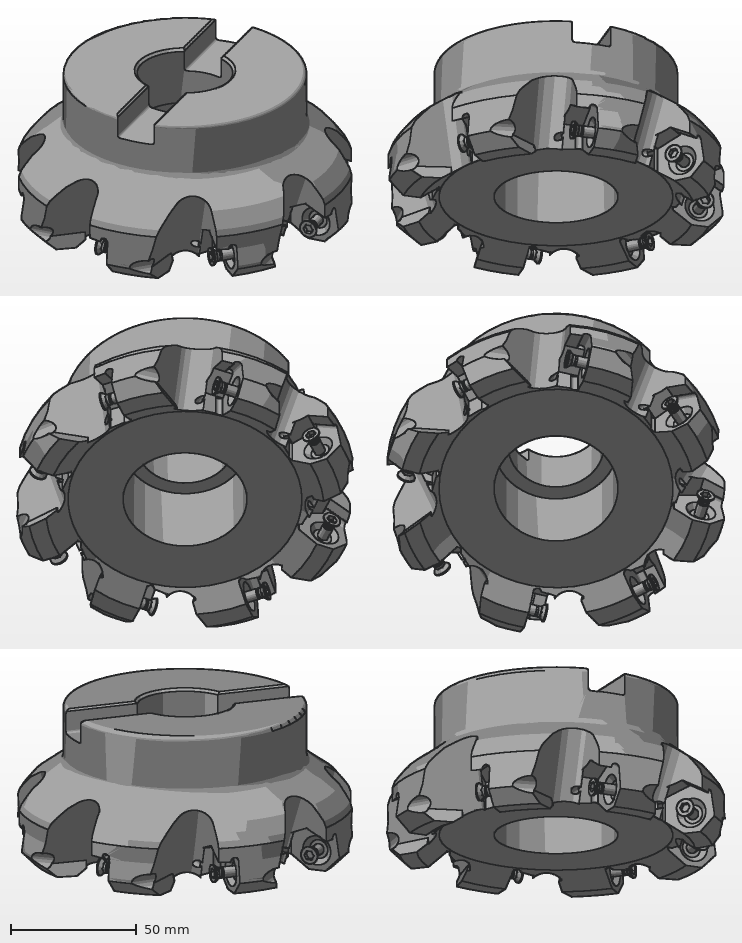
import cadquery as cq
import math


tooth_count = 8
height = 61.7
outer_radius = 68.4

selection_margin = 0.1

hub_radius = 48.4
hub_top_round = 1.9
hub_base_round = 2.9
hub_base_z = 38.9
crown = [(61.4, 29.4), (64.3, 26.0), (66.3, 23.3), (67.3, 20.7), (67.3, 14.5)]
rim_top_z = 7.3
rim_bottom_z = 5.9
bottom_chamfer = rim_bottom_z
core_bottom_z = 6.3
recess_top_radius = 46.5
recess_bottom_radius = 55.4

bore_radius = 19.0
bore_chamfer = 1.1
counterbore_radius = 24.6
counterbore_top_z = 37.9
slot_width = 16.0
slot_floor_z = 52.0
slot_edge_chamfer = 0.8
slot_floor_round = 1.2

gullet_face_y = -11.8
gullet_radius = 7.7
gullet_axis_x = 56.8
gullet_axis_z = 20.5
gullet_lean = 0.3
gullet_back_angle = 55.0
gullet_reach = 41.0
toe_height = 9.6
toe_spread = 3.0

seat_y = -3.5
screw_x = 58.7
screw_z = 8.2
pocket_overrun = 0.7
pocket_inner_x = 47.6
pocket_shoulder_z = 15.6
pocket_peak_x = 57.7
pocket_peak_z = 19.5
pocket_top_fall_angle = 28.0
relief_radius = 1.6
dish_radius = 6.0
dish_floor_radius = 3.8
dish_depth = 2.0

head_radius = 3.5
head_top_y = -11.4
head_rim = 0.5
head_taper = 1.6
shank_radius = 2.2
neck_groove_y = -7.7
neck_groove_width = 0.8
neck_groove_depth = 0.4
shank_end_y = 8.2
socket_across_corners = 4.1
socket_depth = 1.9

driver_drift_in = 0.06
driver_drift_down = 0.05

coolant_radius = 1.5
coolant_y = -13.7
coolant_z = 9.6
coolant_end_x = 41.0


def around_teeth(shape):
    """Copies of a shape made for the +X tooth, one for every tooth."""
    step = 360.0 / tooth_count
    return [shape.rotate((0, 0, 0), (0, 0, 1), i * step) for i in range(tooth_count)]


def along_screw(start_y):
    """Workplane centred on the screw axis at the given Y, facing +Y, with local Y along Z."""
    frame = cq.Plane(origin=(screw_x, start_y, screw_z), xDir=(-1, 0, 0), normal=(0, 1, 0))
    return cq.Workplane(frame)


def turned_blank():
    """Hub, conical shoulder and toothed rim as one turned ring."""
    outline = [
        (bore_radius, counterbore_top_z),
        (counterbore_radius, counterbore_top_z),
        (counterbore_radius, core_bottom_z),
        (recess_top_radius, core_bottom_z),
        (recess_bottom_radius, 0),
        (outer_radius - bottom_chamfer, 0),
        (outer_radius, rim_bottom_z),
        (outer_radius, rim_top_z),
        *reversed(crown),
        (hub_radius, hub_base_z),
        (hub_radius, height),
        (bore_radius, height),
    ]
    blank = cq.Workplane("XZ").polyline(outline).close().revolve(360, (0, 0, 0), (0, 1, 0))
    span = hub_radius + selection_margin
    hub_base = cq.selectors.BoxSelector(
        (-span, -span, hub_base_z - selection_margin),
        (span, span, hub_base_z + selection_margin),
    )
    blank = blank.edges(hub_base).edges("%CIRCLE").fillet(hub_base_round)
    blank = blank.faces(">Z").edges(cq.selectors.RadiusNthSelector(-1)).fillet(hub_top_round)
    return blank.faces(">Z").edges(cq.selectors.RadiusNthSelector(0)).chamfer(bore_chamfer)


def drive_slot():
    """Slot across the hub along Y, with rounded floor corners and chamfered mouth edges."""
    length = 2 * outer_radius
    depth = height - slot_floor_z
    slot = (
        cq.Workplane("XY", origin=(0, 0, slot_floor_z))
        .rect(slot_width, length)
        .extrude(depth)
        .faces("<Z")
        .edges("|Y")
        .fillet(slot_floor_round)
    )
    half = slot_width / 2
    mouth = (
        cq.Workplane("XZ", origin=(0, length / 2, height))
        .polyline(
            [
                (-half - slot_edge_chamfer, 0),
                (half + slot_edge_chamfer, 0),
                (half, -slot_edge_chamfer),
                (-half, -slot_edge_chamfer),
            ]
        )
        .close()
        .extrude(length)
    )
    return slot.union(mouth)


def gullet():
    """Leaning round-bottomed groove with a flat leading wall and a flared trailing wall.

    The trailing wall ends in a toe that slopes into the groove at the bottom of the tooth.
    """
    axis_y = gullet_face_y - gullet_radius
    frame = cq.Plane(
        origin=(gullet_axis_x, axis_y, gullet_axis_z),
        xDir=(1, 0, -gullet_lean),
        normal=(gullet_lean, 0, 1),
    )
    back = math.radians(gullet_back_angle)
    back_start = (-gullet_radius * math.sin(back), -gullet_radius * math.cos(back))
    back_end = (
        back_start[0] + gullet_reach * math.cos(back),
        back_start[1] - gullet_reach * math.sin(back),
    )
    groove = (
        cq.Workplane(frame)
        .moveTo(0, gullet_radius)
        .threePointArc((-gullet_radius, 0), back_start)
        .lineTo(*back_end)
        .lineTo(gullet_reach, back_end[1])
        .lineTo(gullet_reach, gullet_radius)
        .close()
        .extrude(gullet_reach, both=True)
    )
    wall_foot_x = gullet_axis_x - gullet_lean * gullet_axis_z + back_start[0]
    wall_foot_y = axis_y + back_start[1]
    toe_frame = cq.Plane(
        origin=(wall_foot_x, wall_foot_y, 0),
        xDir=(math.sin(back), math.cos(back), 0),
        normal=(math.cos(back), -math.sin(back), 0),
    )
    toe = (
        cq.Workplane(toe_frame)
        .polyline([(-toe_spread, 0), (toe_spread, 0), (0, toe_height), (-toe_spread, toe_height)])
        .close()
        .extrude(gullet_reach)
    )
    return groove.cut(toe)


def insert_pocket():
    """Gabled recess down to the seat, with corner relief grooves and a dish round the screw."""
    fall = math.radians(pocket_top_fall_angle)
    run = outer_radius - pocket_peak_x
    outer_top_z = pocket_peak_z - run * math.tan(fall)
    depth = seat_y - gullet_face_y + pocket_overrun
    pocket = (
        cq.Workplane("XZ", origin=(0, seat_y, 0))
        .polyline(
            [
                (pocket_inner_x, 0),
                (pocket_inner_x, pocket_shoulder_z),
                (pocket_peak_x, pocket_peak_z),
                (outer_radius, outer_top_z),
                (outer_radius, 0),
            ]
        )
        .close()
        .extrude(depth)
    )
    relief_y = seat_y - relief_radius
    inner_relief = cq.Solid.makeCylinder(
        relief_radius,
        pocket_shoulder_z,
        cq.Vector(pocket_inner_x + relief_radius / 2, relief_y, 0),
        cq.Vector(0, 0, 1),
    )
    upper_relief = cq.Solid.makeCylinder(
        relief_radius,
        run / math.cos(fall),
        cq.Vector(pocket_peak_x, relief_y, pocket_peak_z),
        cq.Vector(math.cos(fall), 0, -math.sin(fall)),
    )
    dish = cq.Workplane(
        cq.Solid.makeCone(
            dish_radius,
            dish_floor_radius,
            dish_depth,
            cq.Vector(screw_x, seat_y, screw_z),
            cq.Vector(0, 1, 0),
        )
    )
    return pocket.union(inner_relief).union(upper_relief).union(dish)


def screw_bore():
    """Blind hole that the shank fills."""
    return along_screw(seat_y).circle(shank_radius).extrude(shank_end_y - seat_y)


def driver_groove():
    """Clearance for the screwdriver, running forward from the screw head into the tooth in front."""
    start = cq.Vector(screw_x, seat_y, screw_z)
    direction = cq.Vector(-driver_drift_in, -1, -driver_drift_down)
    groove = cq.Solid.makeCylinder(head_radius, outer_radius, start, direction)
    return cq.Workplane(groove)


def coolant_outlet():
    """Blind radial hole opening in the gullet floor."""
    frame = cq.Plane(origin=(coolant_end_x, coolant_y, coolant_z), xDir=(0, 1, 0), normal=(1, 0, 0))
    return cq.Workplane(frame).circle(coolant_radius).extrude(gullet_axis_x - coolant_end_x)


def make_cutter_body():
    """Turned blank with the slot and every tooth's gullet, pocket and holes cut away."""
    body = turned_blank().cut(drive_slot())
    for cutter in (gullet(), insert_pocket(), screw_bore(), driver_groove(), coolant_outlet()):
        for copy in around_teeth(cutter):
            body = body.cut(copy)
    return body


def make_screw():
    """Countersunk clamping screw with a hexagon socket, its head standing clear of the seat."""
    neck_y = head_top_y + head_rim + head_taper
    screw = (
        cq.Workplane("XY")
        .polyline(
            [
                (screw_x, head_top_y),
                (screw_x + head_radius, head_top_y),
                (screw_x + head_radius, head_top_y + head_rim),
                (screw_x + shank_radius, neck_y),
                (screw_x + shank_radius, shank_end_y),
                (screw_x, shank_end_y),
            ]
        )
        .close()
        .revolve(360, (screw_x, 0, 0), (screw_x, 1, 0))
        .translate((0, 0, screw_z))
    )
    neck_groove = (
        along_screw(neck_groove_y - neck_groove_width / 2)
        .circle(shank_radius)
        .circle(shank_radius - neck_groove_depth)
        .extrude(neck_groove_width)
    )
    socket = along_screw(head_top_y).polygon(6, socket_across_corners).extrude(socket_depth)
    return screw.cut(neck_groove).cut(socket)


cutter_body = make_cutter_body()
screws = around_teeth(make_screw())

result = cq.Compound.makeCompound([cutter_body.val(), *[screw.val() for screw in screws]])